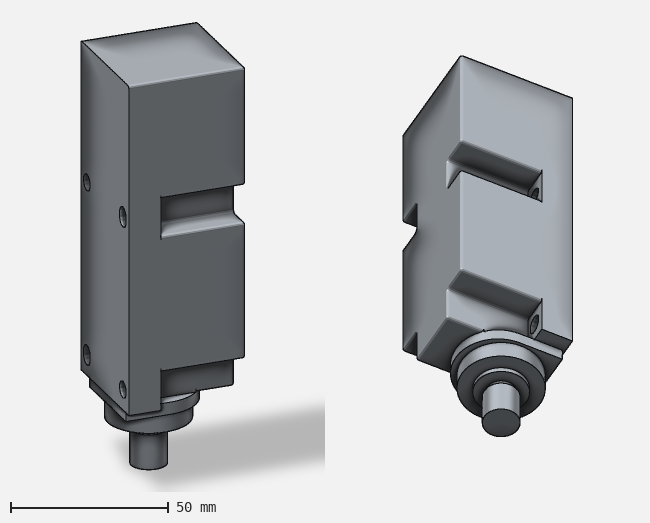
import cadquery as cq
import math

width = 40.0
depth = 40.0
overall_height = 140.0
edge_radius = 1.0

plate_thickness = 4.2
plate_width = 30.0
plate_front = 1.0
plate_arc_center = 16.2
ring_height = 6.3
ring_diameter = 28.0
collar_height = 1.8
collar_diameter = 18.0
neck_height = 2.2
neck_diameter = 10.0
plug_height = 12.0
plug_diameter = 12.0
connector_axis = 15.0

stack_height = plate_thickness + ring_height + collar_height + neck_height + plug_height
body_height = overall_height - stack_height

hole_diameter = 5.5
hole_offset = 15.0
slot_length = 6.7
lower_hole_z = 7.0
hole_pitch = 59.5
upper_hole_z = lower_hole_z + hole_pitch
flange_thickness = 11.0
notch_depth = 9.4
notch_height = 13.0
lower_notch_top = 13.2
notch_wall = width / 2 - notch_depth
notch_length = depth - flange_thickness


def make_notch(side, bottom, top):
    """Cutter for a side notch: rounded inner corners and rounded-over mouth."""
    r = edge_radius
    outer = width / 2
    mouth = outer - r
    diagonal = r * math.sqrt(0.5)
    profile = (
        cq.Workplane("XZ", origin=(0, flange_thickness, 0))
        .moveTo(side * outer, bottom - r)
        .threePointArc((side * (mouth + diagonal), bottom - r + diagonal), (side * mouth, bottom))
        .lineTo(side * (notch_wall + r), bottom)
        .threePointArc(
            (side * (notch_wall + r - diagonal), bottom + r - diagonal),
            (side * notch_wall, bottom + r),
        )
        .lineTo(side * notch_wall, top - r)
        .threePointArc(
            (side * (notch_wall + r - diagonal), top - r + diagonal),
            (side * (notch_wall + r), top),
        )
        .lineTo(side * mouth, top)
        .threePointArc((side * (mouth + diagonal), top + r - diagonal), (side * outer, top + r))
        .close()
    )
    return profile.extrude(-notch_length)


def make_plate(bottom, height):
    """Connector plate: flat front and sides, semicircular rear."""
    half = plate_width / 2
    return (
        cq.Workplane("XY", origin=(0, 0, bottom))
        .moveTo(-half, plate_front)
        .lineTo(half, plate_front)
        .lineTo(half, plate_arc_center)
        .threePointArc((0, plate_arc_center + half), (-half, plate_arc_center))
        .close()
        .extrude(height)
    )


def make_body():
    """Block with four side notches; rear outline, upper sides and rear underside are rounded."""
    body = cq.Workplane("XY").box(width, depth, body_height, centered=(True, False, False))
    notch_spans = (
        (upper_hole_z - notch_height / 2, upper_hole_z + notch_height / 2),
        (-2 * edge_radius, lower_notch_top),
    )
    for side in (-1, 1):
        for bottom, top in notch_spans:
            body = body.cut(make_notch(side, bottom, top))

    behind_flange = cq.selectors.BoxSelector(
        (-notch_wall - edge_radius, flange_thickness + edge_radius, -edge_radius),
        (notch_wall + edge_radius, depth + edge_radius, edge_radius),
    )
    edges = body.faces(">Y").edges().add(body.edges(">Z and |Y"))
    edges = edges.add(body.faces("<Z").edges(behind_flange).edges("|Y"))
    plate_root = make_plate(0, edge_radius).intersect(body)
    return edges.fillet(edge_radius).union(plate_root)


def make_holes():
    """Cutters for the diagonal pairs of round holes and upright slots."""
    front = cq.Workplane("XZ")
    round_holes = (
        front.pushPoints([(-hole_offset, upper_hole_z), (hole_offset, lower_hole_z)])
        .circle(hole_diameter / 2)
        .extrude(-depth)
    )
    slots = (
        front.pushPoints([(hole_offset, upper_hole_z), (-hole_offset, lower_hole_z)])
        .slot2D(slot_length, hole_diameter, 90)
        .extrude(-depth)
    )
    return round_holes.union(slots)


def make_connector():
    """Plate followed by the coaxial ring, collar, neck and plug."""
    connector = make_plate(-plate_thickness, plate_thickness)
    top = -plate_thickness
    for height, diameter in (
        (ring_height, ring_diameter),
        (collar_height, collar_diameter),
        (neck_height, neck_diameter),
        (plug_height, plug_diameter),
    ):
        disc = cq.Workplane("XY", origin=(0, connector_axis, top)).circle(diameter / 2).extrude(-height)
        connector = connector.union(disc)
        top -= height
    return connector


result = make_body().cut(make_holes()).union(make_connector())